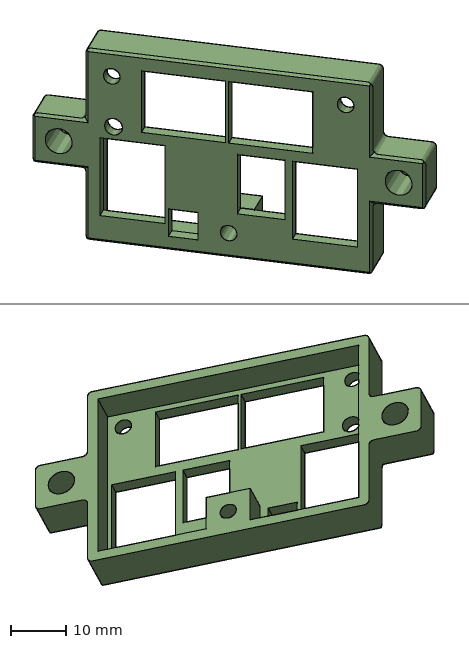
import cadquery as cq

total_width = 74.0
body_width = 54.0
body_height = 39.0
tab_height = 10.0
depth = 8.0
corner_radius = 0.95
front_chamfer = 0.5

wall_thickness = 2.0
plate_thickness = 2.4

screw_block_width = 8.4

tab_hole_diameter = 5.0
tab_hole_spacing = 64.0
screw_hole_diameter = 3.1
screw_spacing = 44.0
screw_height = 14.5
side_hole_diameter = 3.3
side_hole_center = (-21.7, 4.3)

upper_window_width = 15.8
upper_window_height = 12.5
upper_window_bottom = 3.85
upper_window_left = -16.4
upper_window_rib = 0.6
lower_window_top = 1.7
side_window_width = 12.2
side_window_height = 15.8
side_window_offset = 18.1
middle_window_width = 8.95
middle_window_height = 12.05
middle_window_left = 1.6
small_window_size = 5.55
small_window_left = -11.3
small_window_top = -11.1


def block(left, bottom, width, height, start, length):
    """Box given by its lower left corner in XZ and its extent along Y."""
    return cq.Workplane("XY").box(width, length, height, centered=False).translate((left, start, bottom))


def through_hole(center, diameter):
    """Round cutter along Y through the whole depth."""
    x, z = center
    return cq.Workplane("XZ").center(x, z).circle(diameter / 2).extrude(-depth)


def window(left, top, width, height):
    """Rectangular cutter through the front plate."""
    return block(left, top - height, width, height, 0, plate_thickness)


body = block(-body_width / 2, -body_height / 2, body_width, body_height, 0, depth)
tabs = block(-total_width / 2, -tab_height / 2, total_width, tab_height, 0, depth)
result = body.union(tabs).clean()
result = result.faces("<Y").chamfer(front_chamfer)
result = result.edges("|Y").fillet(corner_radius)

cavity_width = body_width - 2 * wall_thickness
cavity_height = body_height - 2 * wall_thickness
cavity_floor = -cavity_height / 2
cavity_depth = depth - plate_thickness
result = result.cut(
    block(-cavity_width / 2, cavity_floor, cavity_width, cavity_height, plate_thickness, cavity_depth)
)

block_left = -screw_block_width / 2
block_height = -screw_height + screw_block_width / 2 - cavity_floor
result = result.union(
    block(block_left, cavity_floor, screw_block_width, block_height, plate_thickness, cavity_depth)
)

for side in (-1, 1):
    result = result.cut(through_hole((side * tab_hole_spacing / 2, 0), tab_hole_diameter))
    result = result.cut(through_hole((side * screw_spacing / 2, screw_height), screw_hole_diameter))
result = result.cut(through_hole((0, -screw_height), screw_hole_diameter))
result = result.cut(through_hole(side_hole_center, side_hole_diameter))

for index in range(2):
    left = upper_window_left + index * (upper_window_width + upper_window_rib)
    top = upper_window_bottom + upper_window_height
    result = result.cut(window(left, top, upper_window_width, upper_window_height))

for side in (-1, 1):
    left = side * side_window_offset - side_window_width / 2
    result = result.cut(window(left, lower_window_top, side_window_width, side_window_height))

result = result.cut(window(middle_window_left, lower_window_top, middle_window_width, middle_window_height))
result = result.cut(window(small_window_left, small_window_top, small_window_size, small_window_size))